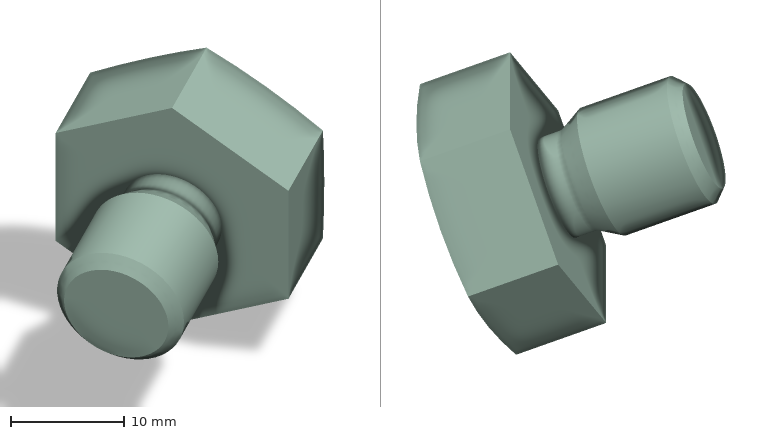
import cadquery as cq
import math

across_corners = 25.4
head_height = 10.0
dome_radius = 60.0

stud_length = 14.0
stud_radius = 12.0 / 2
end_chamfer = 1.07

neck_radius = 9.4 / 2
neck_length = 1.83
fillet_radius = 0.91
cone_angle = math.radians(30)


def make_head():
    """Hexagonal prism with corners on +Z and -Z, rounded by a large sphere."""
    prism = (
        cq.Workplane("XZ")
        .polygon(6, across_corners)
        .extrude(-head_height)
        .rotate((0, 0, 0), (0, 1, 0), 90)
    )
    sphere_center = (0, head_height - dome_radius, 0)
    dome = cq.Workplane("XY").sphere(dome_radius).translate(sphere_center)
    return prism.intersect(dome)


def make_stud():
    """Revolved neck, concave fillet, cone and chamfered cylinder."""

    def fillet_point(angle):
        return (
            neck_radius + fillet_radius * (1 - math.cos(angle)),
            -neck_length - fillet_radius * math.sin(angle),
        )

    cone_start_radius, cone_start_y = fillet_point(cone_angle)
    cone_length = (stud_radius - cone_start_radius) / math.tan(cone_angle)
    return (
        cq.Workplane("XY")
        .lineTo(neck_radius, 0)
        .lineTo(neck_radius, -neck_length)
        .threePointArc(fillet_point(cone_angle / 2), (cone_start_radius, cone_start_y))
        .lineTo(stud_radius, cone_start_y - cone_length)
        .lineTo(stud_radius, -stud_length + end_chamfer)
        .lineTo(stud_radius - end_chamfer, -stud_length)
        .lineTo(0, -stud_length)
        .close()
        .revolve(360, (0, 0, 0), (0, 1, 0))
    )


result = make_head().union(make_stud())